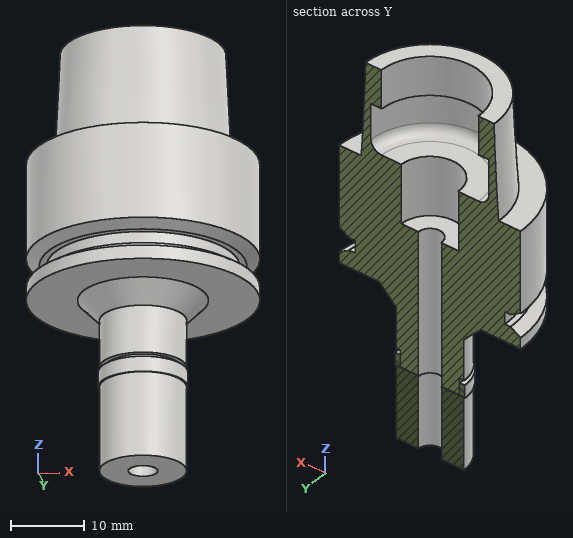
import cadquery as cq
import math

total_height = 61.0
taper_height = 16.05
flange_height = 19.95
flange_top = total_height - taper_height
flange_bottom = flange_top - flange_height
neck_top = 22.0
neck_bottom = 15.1
spigot_bottom = 12.25

taper_top_radius = 22.75 / 2
taper_base_radius = 24.35 / 2
flange_radius = 32.0 / 2
neck_radius = 11.95 / 2
spigot_radius = 10.5 / 2
ring_radius = 12.3 / 2
ring_height = 2.2

cone_top_radius = neck_radius + flange_bottom - neck_top

groove_floor_radius = 26.5 / 2
groove_floor_bottom = 28.0
groove_floor_top = 30.0
groove_bevel_height = 1.05
groove_bevel_angle = 30.0
groove_mouth_radius = flange_radius - groove_bevel_height / math.tan(math.radians(groove_bevel_angle))

mouth_radius = 17.1 / 2
mouth_depth = 6.6
undercut_radius = 20.75 / 2
undercut_wall_depth = 12.5
corner_radius = undercut_radius - mouth_radius

counterbore_radius = 10.0 / 2
counterbore_depth = 2 * counterbore_radius
passage_radius = 4.0 / 2


def make_holder():
    """Taper, grooved flange, neck and spigot, bored from above, as one solid of revolution."""
    mouth_bottom = total_height - mouth_depth
    corner_top = total_height - undercut_wall_depth
    bore_floor = corner_top - corner_radius
    counterbore_floor = bore_floor - counterbore_depth
    corner_middle = (
        mouth_radius + corner_radius * math.sqrt(0.5),
        corner_top - corner_radius * math.sqrt(0.5),
    )
    outside = [
        (passage_radius, counterbore_floor),
        (passage_radius, spigot_bottom),
        (spigot_radius, spigot_bottom),
        (spigot_radius, neck_bottom),
        (neck_radius, neck_bottom),
        (neck_radius, neck_top),
        (cone_top_radius, flange_bottom),
        (flange_radius, flange_bottom),
        (flange_radius, groove_floor_bottom - groove_bevel_height),
        (groove_mouth_radius, groove_floor_bottom),
        (groove_floor_radius, groove_floor_bottom),
        (groove_floor_radius, groove_floor_top),
        (groove_mouth_radius, groove_floor_top),
        (flange_radius, groove_floor_top + groove_bevel_height),
        (flange_radius, flange_top),
        (taper_base_radius, flange_top),
        (taper_top_radius, total_height),
    ]
    bore = [
        (mouth_radius, total_height),
        (mouth_radius, mouth_bottom),
        (undercut_radius, mouth_bottom),
        (undercut_radius, corner_top),
    ]
    half_section = (
        cq.Workplane("YZ")
        .polyline(outside + bore)
        .threePointArc(corner_middle, (mouth_radius, bore_floor))
        .lineTo(counterbore_radius, bore_floor)
        .lineTo(counterbore_radius, counterbore_floor)
        .close()
    )
    return half_section.revolve(360, (0, 0, 0), (0, 1, 0))


def make_tube(outer_radius, inner_radius, bottom, height):
    """Plain tube about Z whose lower end is at the given height."""
    return cq.Workplane("XY").workplane(offset=bottom).circle(outer_radius).circle(inner_radius).extrude(height)


holder = make_holder()

ring = make_tube(ring_radius, spigot_radius, spigot_bottom, ring_height)

nose = make_tube(neck_radius, passage_radius, 0, spigot_bottom)

result = cq.Compound.makeCompound([holder.val(), ring.val(), nose.val()])